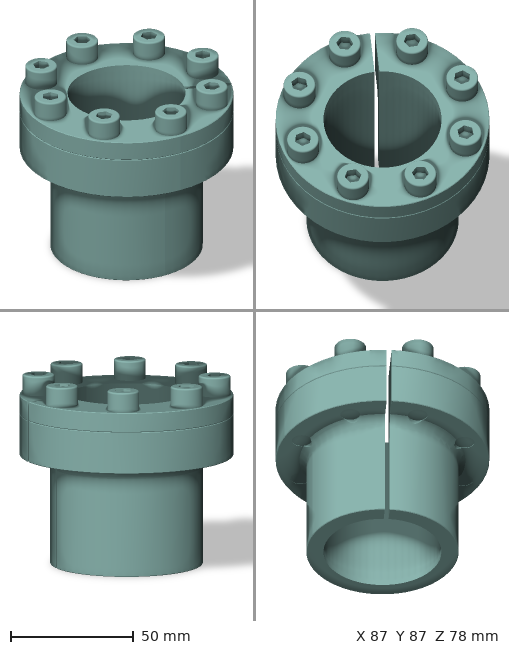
import cadquery as cq
import math

flange_diameter = 87.0
sleeve_diameter = 62.0
bore_diameter = 48.0
flange_bottom = 44.9
seam_height = 62.0
flange_top = 70.0
edge_chamfer = 0.3

blend_radius = 5.0
blend_start = 40.45

slit_width = 2.0
slit_angle = 70.0

screw_count = 8
screw_circle_radius = 35.8
head_diameter = 13.0
head_height = 8.0
head_fillet = 0.7
socket_across_flats = 6.0
socket_depth = 4.0

thread_diameter = 8.0
screw_length = 25.0

flange_radius = flange_diameter / 2
sleeve_radius = sleeve_diameter / 2
bore_radius = bore_diameter / 2
screw_angles = [i * 360 / screw_count for i in range(screw_count)]


def blend_point(height):
    """Point (radius, z) on the blend arc, which leaves the sleeve tangentially."""
    rise = height - blend_start
    return sleeve_radius + blend_radius - math.sqrt(blend_radius**2 - rise**2), height


def make_body():
    """Revolved sleeve and two-ring flange, with a V-shaped seam between the rings."""
    blend_middle = (blend_start + flange_bottom) / 2
    rim_chamfered = flange_radius - edge_chamfer
    return (
        cq.Workplane("XZ")
        .moveTo(bore_radius, 0)
        .lineTo(sleeve_radius - edge_chamfer, 0)
        .lineTo(sleeve_radius, edge_chamfer)
        .lineTo(sleeve_radius, blend_start)
        .threePointArc(blend_point(blend_middle), blend_point(flange_bottom))
        .lineTo(rim_chamfered, flange_bottom)
        .lineTo(flange_radius, flange_bottom + edge_chamfer)
        .lineTo(flange_radius, seam_height - edge_chamfer)
        .lineTo(rim_chamfered, seam_height)
        .lineTo(flange_radius, seam_height + edge_chamfer)
        .lineTo(flange_radius, flange_top - edge_chamfer)
        .lineTo(rim_chamfered, flange_top)
        .lineTo(bore_radius, flange_top)
        .close()
        .revolve(360, (0, 0, 0), (0, 1, 0))
    )


def make_slit():
    """Radial slot running from the axis out past the rim over the full height."""
    slit_length = flange_diameter
    return (
        cq.Workplane("XY")
        .box(slit_length, slit_width, flange_top, centered=(False, True, False))
        .rotate((0, 0, 0), (0, 0, 1), slit_angle)
    )


def make_screw_head():
    """Screw head on the +X axis, its hexagon socket having a corner towards +X."""
    socket_across_corners = socket_across_flats / math.cos(math.pi / 6)
    return (
        cq.Workplane("XY", origin=(screw_circle_radius, 0, flange_top))
        .circle(head_diameter / 2)
        .extrude(head_height)
        .faces(">Z")
        .edges()
        .fillet(head_fillet)
        .faces(">Z")
        .workplane(origin=(screw_circle_radius, 0, 0))
        .polygon(6, socket_across_corners)
        .cutBlind(-socket_depth)
    )


def make_thread_hole():
    """Hole on the +X axis from the screw tip down past the blend, which it notches."""
    screw_tip = flange_top - screw_length
    return (
        cq.Workplane("XY", origin=(screw_circle_radius, 0, blend_start))
        .circle(thread_diameter / 2)
        .extrude(screw_tip - blend_start)
    )


result = make_body().cut(make_slit())
screw_head = make_screw_head()
thread_hole = make_thread_hole()
for angle in screw_angles:
    result = result.cut(thread_hole.rotate((0, 0, 0), (0, 0, 1), angle))
    result = result.union(screw_head.rotate((0, 0, 0), (0, 0, 1), angle))